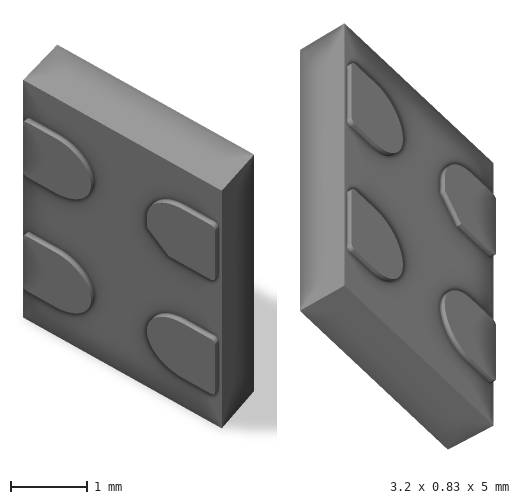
import cadquery as cq
import math

body_width = 3.2
body_height = 5.0
body_depth = 0.75
body_draft_angle = 1.0

pad_thickness = 0.08
pad_length = 1.1
pad_height = 1.15
pad_corner_radius = 0.075
pad_edge_inset = 0.05
pad_pitch_z = 2.4
key_chamfer = 0.35

pad_half_height = pad_height / 2
pad_outer_x = body_width / 2 - pad_edge_inset
pad_inner_x = pad_outer_x - pad_length
pad_round_center_x = pad_inner_x + pad_half_height

front_y = -body_depth / 2
pad_face_y = front_y - pad_thickness


def make_body():
    """Plate with its full-size face in front and drafted sides."""
    back_inset = body_depth * math.tan(math.radians(body_draft_angle))
    return (
        cq.Workplane("XZ", origin=(0, front_y, 0))
        .rect(body_width, body_height)
        .workplane(offset=-body_depth)
        .rect(body_width - 2 * back_inset, body_height - 2 * back_inset)
        .loft(ruled=True)
    )


def pad_workplane(center_z):
    """XZ plane on the exposed pad face, centred on one row of pads."""
    return cq.Workplane("XZ", origin=(0, pad_face_y, center_z))


def finish_pad(outline):
    """Extrude a right-hand pad back to the body and round its outer corners."""
    return (
        outline.close()
        .extrude(-pad_thickness)
        .edges("|Y and >X")
        .fillet(pad_corner_radius)
    )


def make_round_pad(center_z):
    """Right-hand pad with a half-round inner end."""
    outline = (
        pad_workplane(center_z)
        .moveTo(pad_outer_x, -pad_half_height)
        .lineTo(pad_outer_x, pad_half_height)
        .lineTo(pad_round_center_x, pad_half_height)
        .threePointArc((pad_inner_x, 0), (pad_round_center_x, -pad_half_height))
    )
    return finish_pad(outline)


def make_key_pad(center_z):
    """Right-hand pad with a rounded upper and a chamfered lower inner corner."""
    outline = (
        pad_workplane(center_z)
        .moveTo(pad_outer_x, -pad_half_height)
        .lineTo(pad_outer_x, pad_half_height)
        .lineTo(pad_round_center_x, pad_half_height)
        .tangentArcPoint((pad_inner_x, 0), relative=False)
        .lineTo(pad_inner_x, -pad_half_height + key_chamfer)
        .lineTo(pad_inner_x + key_chamfer, -pad_half_height)
    )
    return finish_pad(outline)


upper_z = pad_pitch_z / 2
lower_z = -pad_pitch_z / 2

result = make_body()
for row_z in (upper_z, lower_z):
    result = result.union(make_round_pad(row_z).mirror("YZ"))
result = result.union(make_round_pad(lower_z))
result = result.union(make_key_pad(upper_z))